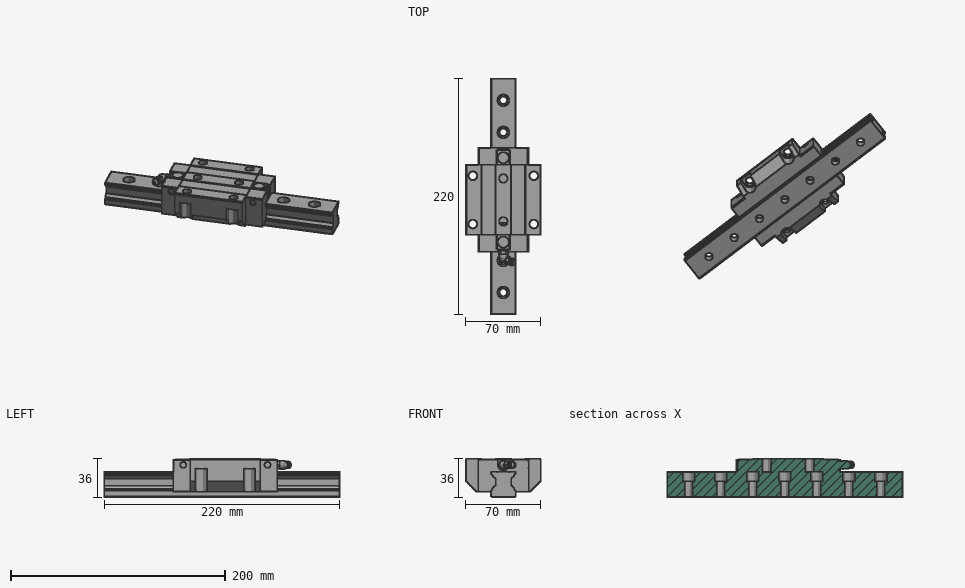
import cadquery as cq
import math

RAIL_LENGTH = 220.0
RAIL_HEIGHT = 23.8
RAIL_HALF_WIDTH = 11.7
RAIL_LIP_X = 10.3
RAIL_NECK_X = 7.3
RAIL_LEDGE_WIDTH = 0.9
RAIL_BASE_CHAMFER = 1.0
RAIL_TOP_CHAMFER = 0.7
RAIL_FOOT_TOP = 6.0
LOWER_LIP_BOTTOM = 6.8
LOWER_LIP_TOP = 8.0
NECK_BOTTOM = 10.5
NECK_TOP = 17.4
UPPER_LIP_BOTTOM = 20.2
UPPER_LIP_TOP = 21.1
RAIL_HEAD_BOTTOM = 22.0
RAIL_HOLE_PITCH = 30.0
RAIL_HOLE_COUNT = 7
RAIL_HOLE_DIAMETER = 7.0
RAIL_BORE_DIAMETER = 11.0
RAIL_BORE_DEPTH = 9.0

BLOCK_CENTER_Y = -3.3
BLOCK_WIDTH = 70.0
BLOCK_LENGTH = 65.5
BLOCK_TOP = 36.0
BLOCK_BOTTOM = 5.0
FLANGE_BEVEL = 10.0
TOP_EDGE_WIDTH = 0.7
TOP_EDGE_HEIGHT = 1.3
CENTER_PAD_HALF_WIDTH = 7.3
SIDE_PAD_INNER_X = 20.5
RELIEF_DEPTH = 0.7
RELIEF_SLOPE_WIDTH = 0.7

MOUNT_SPACING_X = 57.0
MOUNT_SPACING_Y = 45.0
MOUNT_HOLE_DIAMETER = 8.0
BOLT_SLOT_WIDTH = 11.0
BOLT_SLOT_TOP = 26.6
CENTER_HOLE_SPACING = 40.0

CAP_WIDTH = 47.0
CAP_LENGTH = 15.8
CAP_TOP = 35.0
CAP_EDGE_WIDTH = 1.0
CAP_EDGE_HEIGHT = 0.7
PORT_Z = 30.1
PORT_FROM_BLOCK = 6.5
SIDE_PORT_DIAMETER = 5.7
SIDE_PORT_DEPTH = 2.2
CAP_PAD_TOP = 35.6
CAP_PAD_SETBACK = 2.5
CAP_PAD_BASE_WIDTH = 12.8
CAP_PAD_TOP_WIDTH = 11.5
TOP_PORT_DIAMETER = 10.3
TOP_PORT_DEPTH = 0.2
END_NOTCH_WIDTH = 10.1
END_NOTCH_DEPTH = 1.3

HEX_CORNER_DIAMETER = 8.8
HEX_LENGTH = 2.2
ELBOW_RADIUS = 4.0
ELBOW_REACH = 5.7
HEAD_ANGLE = 25.0
COLLAR_CORNER_DIAMETER = 7.0
COLLAR_END = 5.7
TIP_NECK_END = 7.3
TIP_RIM_START = 8.0
TIP_RIM_END = 9.7
HEAD_LENGTH = 12.0
TIP_NECK_RADIUS = 2.6
TIP_RIM_RADIUS = 3.3
TIP_NOSE_RADIUS = 1.8

block_half_length = BLOCK_LENGTH / 2
block_half_width = BLOCK_WIDTH / 2


def mirrored_outline(right_side):
    """XZ outline from its right-hand points, listed bottom to top."""
    left_side = [(-x, z) for x, z in reversed(right_side)]
    return cq.Workplane("XZ").polyline(right_side + left_side).close()


def extrude_along_y(outline, length, center_y):
    return outline.extrude(length / 2, both=True).translate((0, center_y, 0))


def make_rail():
    profile = [
        (RAIL_HALF_WIDTH - RAIL_BASE_CHAMFER, 0),
        (RAIL_HALF_WIDTH, RAIL_BASE_CHAMFER),
        (RAIL_HALF_WIDTH, RAIL_FOOT_TOP),
        (RAIL_LIP_X, LOWER_LIP_BOTTOM),
        (RAIL_LIP_X, LOWER_LIP_TOP),
        (RAIL_NECK_X + RAIL_LEDGE_WIDTH, NECK_BOTTOM),
        (RAIL_NECK_X, NECK_BOTTOM),
        (RAIL_NECK_X, NECK_TOP),
        (RAIL_LIP_X, UPPER_LIP_BOTTOM),
        (RAIL_LIP_X, UPPER_LIP_TOP),
        (RAIL_HALF_WIDTH, RAIL_HEAD_BOTTOM),
        (RAIL_HALF_WIDTH, RAIL_HEIGHT - RAIL_TOP_CHAMFER),
        (RAIL_HALF_WIDTH - RAIL_TOP_CHAMFER, RAIL_HEIGHT),
    ]
    return extrude_along_y(mirrored_outline(profile), RAIL_LENGTH, 0)


def cut_rail_holes(body):
    for index in range(RAIL_HOLE_COUNT):
        y = (index - (RAIL_HOLE_COUNT - 1) / 2) * RAIL_HOLE_PITCH
        hole = cq.Workplane("XY").center(0, y).circle(RAIL_HOLE_DIAMETER / 2).extrude(RAIL_HEIGHT)
        bore = (
            cq.Workplane("XY", origin=(0, y, RAIL_HEIGHT - RAIL_BORE_DEPTH))
            .circle(RAIL_BORE_DIAMETER / 2)
            .extrude(RAIL_BORE_DEPTH)
        )
        body = body.cut(hole).cut(bore)
    return body


def make_block():
    relief_z = BLOCK_TOP - RELIEF_DEPTH
    profile = [
        (block_half_width - FLANGE_BEVEL, BLOCK_BOTTOM),
        (block_half_width, BLOCK_BOTTOM + FLANGE_BEVEL),
        (block_half_width, BLOCK_TOP - TOP_EDGE_HEIGHT),
        (block_half_width - TOP_EDGE_WIDTH, BLOCK_TOP),
        (SIDE_PAD_INNER_X + RELIEF_SLOPE_WIDTH / 2, BLOCK_TOP),
        (SIDE_PAD_INNER_X - RELIEF_SLOPE_WIDTH / 2, relief_z),
        (CENTER_PAD_HALF_WIDTH + RELIEF_SLOPE_WIDTH / 2, relief_z),
        (CENTER_PAD_HALF_WIDTH - RELIEF_SLOPE_WIDTH / 2, BLOCK_TOP),
    ]
    block = extrude_along_y(mirrored_outline(profile), BLOCK_LENGTH, BLOCK_CENTER_Y)
    for side in (-1, 1):
        for end in (-1, 1):
            x = side * MOUNT_SPACING_X / 2
            y = BLOCK_CENTER_Y + end * MOUNT_SPACING_Y / 2
            hole = cq.Workplane("XY").center(x, y).circle(MOUNT_HOLE_DIAMETER / 2).extrude(BLOCK_TOP)
            block = block.cut(hole).cut(bolt_slot(side, x, y))
    return block


def bolt_slot(side, x, y):
    """Round-ended bolt clearance below the flange, open to the outside."""
    round_end = cq.Workplane("XY").center(x, y).circle(BOLT_SLOT_WIDTH / 2).extrude(BOLT_SLOT_TOP)
    opening = (
        cq.Workplane("XY")
        .center(x + side * BOLT_SLOT_WIDTH / 2, y)
        .rect(BOLT_SLOT_WIDTH, BOLT_SLOT_WIDTH)
        .extrude(BOLT_SLOT_TOP)
    )
    return round_end.union(opening)


def cut_center_holes(body):
    for end in (-1, 1):
        hole = (
            cq.Workplane("XY", origin=(0, BLOCK_CENTER_Y + end * CENTER_HOLE_SPACING / 2, RAIL_HEIGHT))
            .circle(MOUNT_HOLE_DIAMETER / 2)
            .extrude(BLOCK_TOP)
        )
        body = body.cut(hole)
    return body


def make_cap(end):
    """End cap on the +Y (end = 1) or -Y (end = -1) face of the block."""
    inner_y = BLOCK_CENTER_Y + end * block_half_length
    outer_y = inner_y + end * CAP_LENGTH
    port_y = inner_y + end * PORT_FROM_BLOCK
    half_width = CAP_WIDTH / 2
    profile = [
        (half_width - CAP_EDGE_WIDTH, BLOCK_BOTTOM),
        (half_width, BLOCK_BOTTOM + CAP_EDGE_HEIGHT),
        (half_width, CAP_TOP - CAP_EDGE_HEIGHT),
        (half_width - CAP_EDGE_WIDTH, CAP_TOP),
    ]
    cap = extrude_along_y(mirrored_outline(profile), CAP_LENGTH, (inner_y + outer_y) / 2)

    pad_length = CAP_LENGTH - CAP_PAD_SETBACK
    pad_profile = [
        (CAP_PAD_BASE_WIDTH / 2, PORT_Z),
        (CAP_PAD_BASE_WIDTH / 2, CAP_TOP),
        (CAP_PAD_TOP_WIDTH / 2, CAP_PAD_TOP),
    ]
    pad = extrude_along_y(mirrored_outline(pad_profile), pad_length, inner_y + end * pad_length / 2)
    cap = cap.union(pad)

    top_port = (
        cq.Workplane("XY", origin=(0, port_y, CAP_PAD_TOP - TOP_PORT_DEPTH))
        .circle(TOP_PORT_DIAMETER / 2)
        .extrude(TOP_PORT_DEPTH)
    )
    cap = cap.cut(top_port)
    for side in (-1, 1):
        side_port = (
            cq.Workplane("YZ", origin=(side * half_width, port_y, PORT_Z))
            .circle(SIDE_PORT_DIAMETER / 2)
            .extrude(-side * SIDE_PORT_DEPTH)
        )
        cap = cap.cut(side_port)

    notch_half = END_NOTCH_WIDTH / 2
    notch_outline = (
        cq.Workplane("XZ", origin=(0, outer_y, 0))
        .moveTo(notch_half, BLOCK_TOP)
        .lineTo(notch_half, PORT_Z)
        .threePointArc((0, PORT_Z - notch_half), (-notch_half, PORT_Z))
        .lineTo(-notch_half, BLOCK_TOP)
        .close()
    )
    return cap.cut(notch_outline.extrude(end * END_NOTCH_DEPTH))


def make_grease_nipple():
    """Hex base on the -Y cap, a ball elbow, and a head pointing mostly toward +X."""
    cap_face_y = BLOCK_CENTER_Y - block_half_length - CAP_LENGTH
    base_y = cap_face_y + END_NOTCH_DEPTH
    elbow_center = (0, cap_face_y - ELBOW_REACH, PORT_Z)
    hex_base = (
        cq.Workplane("XZ", origin=(0, base_y, PORT_Z))
        .polygon(6, HEX_CORNER_DIAMETER)
        .extrude(END_NOTCH_DEPTH + HEX_LENGTH)
    )
    stem = (
        cq.Workplane("XZ", origin=(0, cap_face_y - HEX_LENGTH, PORT_Z))
        .circle(ELBOW_RADIUS)
        .extrude(ELBOW_REACH - HEX_LENGTH)
    )
    ball = cq.Workplane("XY").sphere(ELBOW_RADIUS).translate(elbow_center)

    angle = math.radians(HEAD_ANGLE)
    head_plane = cq.Plane(
        origin=elbow_center,
        xDir=(math.sin(angle), math.cos(angle), 0),
        normal=(math.cos(angle), -math.sin(angle), 0),
    )
    collar = cq.Workplane(head_plane).polygon(6, COLLAR_CORNER_DIAMETER).extrude(COLLAR_END)
    tip_section = [
        (0, COLLAR_END),
        (TIP_NECK_RADIUS, COLLAR_END),
        (TIP_NECK_RADIUS, TIP_NECK_END),
        (TIP_RIM_RADIUS, TIP_RIM_START),
        (TIP_RIM_RADIUS, TIP_RIM_END),
        (TIP_NOSE_RADIUS, HEAD_LENGTH),
        (0, HEAD_LENGTH),
    ]
    tip_plane = cq.Plane(origin=elbow_center, xDir=head_plane.xDir, normal=(0, 0, 1))
    tip = (
        cq.Workplane(tip_plane)
        .polyline([(radius, -distance) for radius, distance in tip_section])
        .close()
        .revolve(360, (0, 0, 0), (0, 1, 0))
    )
    return hex_base.union(stem).union(ball).union(collar).union(tip)


body = make_rail().union(make_block()).union(make_cap(-1)).union(make_cap(1))
body = cut_center_holes(cut_rail_holes(body))
result = body.union(make_grease_nipple())